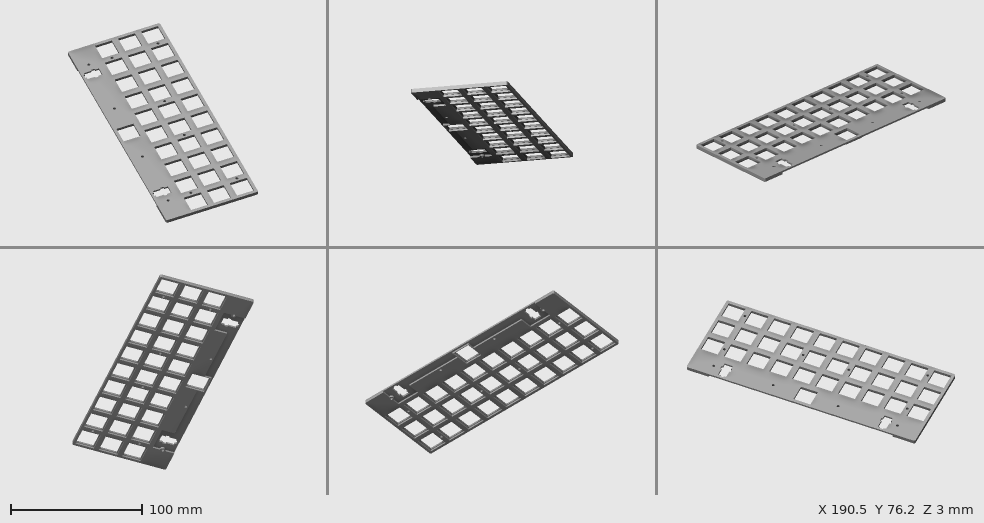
import cadquery as cq

key_pitch = 19.05
columns = 10
key_rows = 3
row_y = [(key_rows / 2 - row) * key_pitch for row in range(key_rows + 1)]
bar_y = row_y[-1]

plate_length = columns * key_pitch
plate_width = (key_rows + 1) * key_pitch
plate_thickness = 3.0
corner_radius = 1.25
front_y = -plate_width / 2

switch_opening = 14.0
clip_opening = 15.0
clip_depth = 1.5

stabilizer_x = 66.6
body_width = 6.65
body_top = 5.53
body_bottom = -6.77
wing_span = 8.7
wing_top = 2.3
wing_bottom = -0.5
foot_width = 3.0
foot_bottom = -7.97

relief_depth = 1.5
pocket_half_width = 10.0
pocket_clearance = 8.0
pocket_back_y = bar_y + pocket_clearance
island_size = 16.0

screw_diameter = 2.2
boss_radius = 2.2
outer_screw_x = 4 * key_pitch
inner_screw_x = key_pitch
bar_outer_screw_x = stabilizer_x + pocket_half_width
bar_inner_screw_x = 27.05

channel_back_y = bar_y - boss_radius


def mirrored(x, y):
    """Return a point and its mirror image across the YZ plane."""
    return [(-x, y), (x, y)]


def box(x_center, y_bottom, y_top, width, height):
    """Rectangular block that stands on the underside plane."""
    return (
        cq.Workplane("XY")
        .center(x_center, (y_bottom + y_top) / 2)
        .rect(width, y_top - y_bottom)
        .extrude(height)
    )


def make_plate():
    return (
        cq.Workplane("XY")
        .rect(plate_length, plate_width)
        .extrude(plate_thickness)
        .edges("|Z")
        .fillet(corner_radius)
    )


def make_relief():
    """Underside cutter: wire channel and stabilizer pockets, less the switch wall and bosses."""
    relief = box(0, front_y, channel_back_y, 2 * stabilizer_x, relief_depth)
    for x in (-stabilizer_x, stabilizer_x):
        relief = relief.union(box(x, front_y, pocket_back_y, 2 * pocket_half_width, relief_depth))
    island = cq.Workplane("XY").center(0, bar_y).rect(island_size, island_size).extrude(relief_depth)
    bosses = (
        cq.Workplane("XY")
        .pushPoints(mirrored(bar_outer_screw_x, bar_y))
        .circle(boss_radius)
        .extrude(relief_depth)
    )
    return relief.cut(island).cut(bosses)


def make_switch_openings():
    first_x = -(columns - 1) / 2 * key_pitch
    centers = [(first_x + column * key_pitch, y) for y in row_y[:-1] for column in range(columns)]
    centers.append((0, bar_y))
    sites = cq.Workplane("XY").pushPoints(centers)
    through = sites.rect(switch_opening, switch_opening).extrude(plate_thickness)
    clips = sites.rect(clip_opening, clip_opening).extrude(clip_depth)
    return through.union(clips)


def make_stabilizer_opening(x):
    body = box(x, bar_y + body_bottom, bar_y + body_top, body_width, plate_thickness)
    wings = box(x, bar_y + wing_bottom, bar_y + wing_top, wing_span, plate_thickness)
    foot = box(x, bar_y + foot_bottom, bar_y + body_top, foot_width, plate_thickness)
    return body.union(wings).union(foot)


def make_screw_holes():
    centers = (
        mirrored(outer_screw_x, row_y[0])
        + mirrored(inner_screw_x, row_y[1])
        + mirrored(outer_screw_x, row_y[2])
        + mirrored(bar_outer_screw_x, bar_y)
        + mirrored(bar_inner_screw_x, bar_y)
    )
    return cq.Workplane("XY").pushPoints(centers).circle(screw_diameter / 2).extrude(plate_thickness)


result = make_plate().cut(make_relief()).cut(make_switch_openings()).cut(make_screw_holes())
for x in (-stabilizer_x, stabilizer_x):
    result = result.cut(make_stabilizer_opening(x))